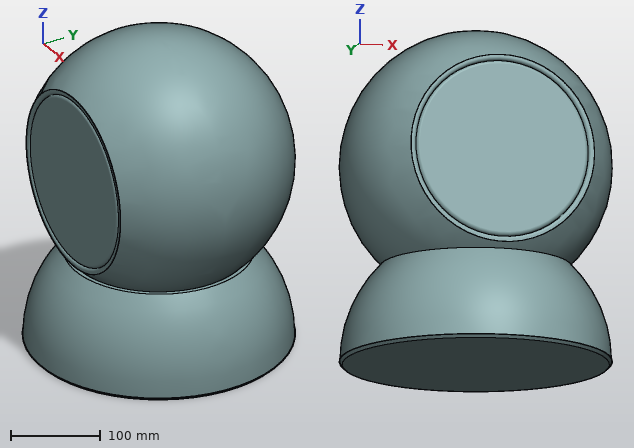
import cadquery as cq
import math

total_height = 377.5
sphere_radius = 152.5
face_offset = 110.0
lip_radius = 106.5
lens_diameter = 200
lens_thickness = 11.5
lens_edge_round = 4.0
opening_edge_round = 3.5
base_height = 111.5
base_dome_radius = 151.7
foot_radius = sphere_radius
foot_height = 3.8
foot_chamfer = 3.5

head_center_z = total_height - sphere_radius
lens_radius = lens_diameter / 2
lens_back_y = -face_offset + lens_thickness
dome_height = base_height - foot_height
dome_top_radius = math.sqrt(base_dome_radius**2 - dome_height**2)
mid_angle = math.asin(dome_height / base_dome_radius) / 2


def ball():
    """Full sphere at the place of the head."""
    return cq.Workplane("XY").sphere(sphere_radius).translate((0, 0, head_center_z))


def make_lens():
    """Round lens that fills the recess flush with the lip, with a rounded front edge."""
    back_plane = cq.Workplane("XZ", origin=(0, lens_back_y, head_center_z))
    disc = back_plane.circle(lens_radius).extrude(lens_thickness)
    return disc.faces("<Y").edges().fillet(lens_edge_round)


def make_head():
    """Ball cut flat at the front, with a short lip and a round-edged recess for the lens."""
    recess_floor = cq.Workplane("XZ", origin=(0, lens_back_y, head_center_z))
    front_cut = recess_floor.circle(lip_radius).extrude(sphere_radius)
    lip = recess_floor.circle(lip_radius).circle(lens_radius).extrude(lens_thickness)
    head = ball().cut(front_cut).union(lip)
    opening_edge = cq.selectors.RadiusNthSelector(0)
    return head.faces("<Y").edges(opening_edge).fillet(opening_edge_round)


def make_base():
    """Domed base on a thin chamfered foot, with a spherical socket for the head."""
    dome_middle = (
        base_dome_radius * math.cos(mid_angle),
        foot_height + base_dome_radius * math.sin(mid_angle),
    )
    base = (
        cq.Workplane("XZ")
        .lineTo(foot_radius - foot_chamfer, 0)
        .lineTo(foot_radius, foot_chamfer)
        .lineTo(foot_radius, foot_height)
        .lineTo(base_dome_radius, foot_height)
        .threePointArc(dome_middle, (dome_top_radius, base_height))
        .lineTo(0, base_height)
        .close()
        .revolve(360, (0, 0, 0), (0, 1, 0))
    )
    return base.cut(ball())


head = make_head()
lens = make_lens()
base = make_base()

result = cq.Compound.makeCompound([body.solids().val() for body in (head, lens, base)])